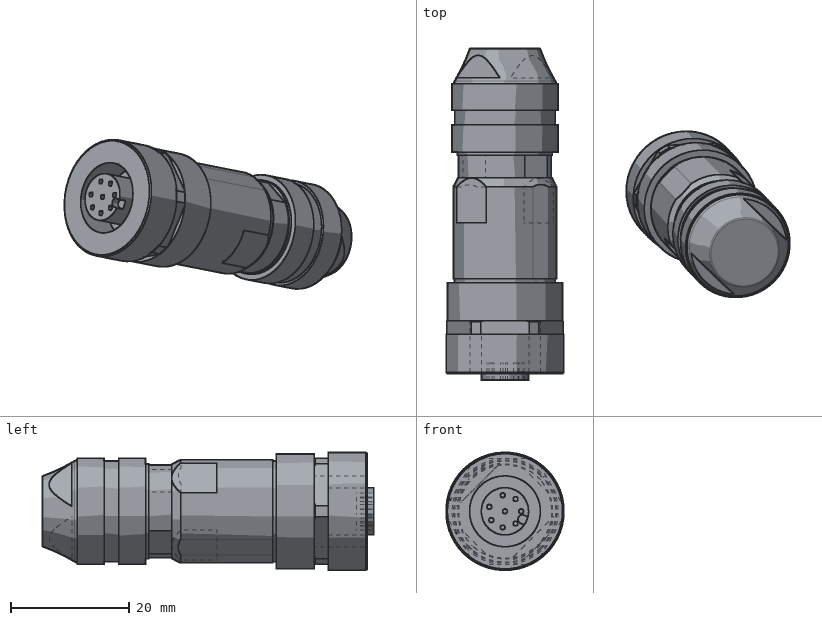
import cadquery as cq
import math


NUT_FACE_Y = 1.1
NUT_GRIP_END_Y = 7.75
NUT_END_Y = 10.1
LOCK_RING_END_Y = 16.55
SLEEVE_SHOULDER_Y = 17.15
SLEEVE_CHAMFER_Y = 32.75
SLEEVE_END_Y = 34.25
NECK_COLLAR_Y = 38.1
NECK_END_Y = 38.65
FRONT_CLAMP_END_Y = 43.25
SPACER_END_Y = 45.7
REAR_CLAMP_END_Y = 50.25
CONE_START_Y = 50.75
CONE_MID_Y = 53.3
OVERALL_LENGTH = 56.2

NUT_RADIUS = 10.0
NUT_BORE_RADIUS = 6.0
NUT_FACE_CHAMFER = 0.25
HEX_SIDES = 6
HEX_FIRST_ANGLE = 30
HEX_ACROSS_FLATS = 18.0
HEX_CORNER_RADIUS = 9.9
HEX_CORNER_CHAMFER = 0.2

INSERT_RADIUS = 4.0
CONTACT_HOLE_RADIUS = 0.4
CONTACT_HOLE_DEPTH = 3.0
CONTACT_CIRCLE_RADIUS = 2.75
CONTACT_COUNT = 7
CONTACT_PITCH = 49.0
KEYWAY_WIDTH = 1.5
KEYWAY_CENTRE_RADIUS = 3.25
KEYWAY_ANGLE = -CONTACT_PITCH / 2
KEYWAY_DEPTH = 1.5

LOCK_RING_RADIUS = 9.75
SLEEVE_RADIUS = 8.75
SLEEVE_SHOULDER_RADIUS = 8.57
SLEEVE_END_RADIUS = 8.0
NECK_RADIUS = 7.88
NECK_COLLAR_RADIUS = 8.05
CLAMP_RADIUS = 9.0
SPACER_RADIUS = 8.55

CONE_BASE_RADIUS = 8.75
CONE_START_RADIUS = 8.5
CONE_MID_RADIUS = 7.15
CONE_TIP_RADIUS = 5.95
CONE_TIP_FILLET = 0.25

LONG_FLAT_DISTANCE = 8.55
SHOULDER_FLAT_DISTANCE = 8.5
NECK_FLAT_DISTANCE = 7.4
WRENCH_FLAT_DISTANCE = 8.0
WRENCH_FLAT_START_Y = 26.65
CONE_FLAT_DISTANCE = 6.4
CONE_FLAT_START_Y = 51.2

SIDE_FLAT_ANGLES = (45, 225)
WRENCH_FLAT_ANGLES = (135, 315)


def disc(radius, start_y, end_y):
    """Solid cylinder on the Y axis."""
    return cq.Workplane("XZ", origin=(0, start_y, 0)).circle(radius).extrude(start_y - end_y)


def revolve(profile):
    """Turn a closed (radius, Y) profile around the Y axis."""
    return profile.close().revolve(360, (0, 0, 0), (0, 1, 0))


def cut_flats(body, distance, angles, start_y, end_y):
    """Cut flats parallel to the Y axis at the given distance from it."""
    width = 2 * NUT_RADIUS
    length = end_y - start_y
    for angle in angles:
        cutter = cq.Workplane("XY").box(width, length, width, centered=(False, False, True))
        cutter = cutter.translate((distance, start_y, 0))
        body = body.cut(cutter.rotate((0, 0, 0), (0, 1, 0), -angle))
    return body


def make_insert():
    core = disc(INSERT_RADIUS, 0, NUT_END_Y)
    flange = disc(NUT_BORE_RADIUS, NUT_GRIP_END_Y, NUT_END_Y)
    insert = core.union(flange)

    hole = disc(CONTACT_HOLE_RADIUS, 0, CONTACT_HOLE_DEPTH)
    insert = insert.cut(hole)
    first_angle = 2 * CONTACT_PITCH
    for index in range(CONTACT_COUNT):
        angle = math.radians(first_angle - index * CONTACT_PITCH)
        x = CONTACT_CIRCLE_RADIUS * math.cos(angle)
        z = CONTACT_CIRCLE_RADIUS * math.sin(angle)
        insert = insert.cut(hole.translate((x, 0, z)))

    round_end = disc(KEYWAY_WIDTH / 2, 0, KEYWAY_DEPTH).translate((KEYWAY_CENTRE_RADIUS, 0, 0))
    mouth = cq.Workplane("XY").box(
        INSERT_RADIUS, KEYWAY_DEPTH, KEYWAY_WIDTH, centered=(False, False, True)
    )
    keyway = round_end.union(mouth.translate((KEYWAY_CENTRE_RADIUS, 0, 0)))
    return insert.cut(keyway.rotate((0, 0, 0), (0, 1, 0), -KEYWAY_ANGLE))


def make_coupling_nut():
    grip = disc(NUT_RADIUS, NUT_FACE_Y, NUT_GRIP_END_Y)
    grip = grip.faces("<Y").chamfer(NUT_FACE_CHAMFER)
    hexagon = disc(HEX_CORNER_RADIUS, NUT_GRIP_END_Y, NUT_END_Y)
    hexagon = hexagon.faces(">Y").chamfer(HEX_CORNER_CHAMFER)
    hex_angles = [HEX_FIRST_ANGLE + 360 * side / HEX_SIDES for side in range(HEX_SIDES)]
    hexagon = cut_flats(hexagon, HEX_ACROSS_FLATS / 2, hex_angles, NUT_GRIP_END_Y, NUT_END_Y)
    return grip.union(hexagon).cut(disc(NUT_BORE_RADIUS, NUT_FACE_Y, NUT_END_Y))


def make_lock_ring():
    return disc(LOCK_RING_RADIUS, NUT_END_Y, LOCK_RING_END_Y)


def make_sleeve():
    profile = (
        cq.Workplane("XY")
        .moveTo(0, LOCK_RING_END_Y)
        .lineTo(SLEEVE_SHOULDER_RADIUS, LOCK_RING_END_Y)
        .lineTo(SLEEVE_SHOULDER_RADIUS, SLEEVE_SHOULDER_Y)
        .lineTo(SLEEVE_RADIUS, SLEEVE_SHOULDER_Y)
        .lineTo(SLEEVE_RADIUS, SLEEVE_CHAMFER_Y)
        .lineTo(SLEEVE_END_RADIUS, SLEEVE_END_Y)
        .lineTo(0, SLEEVE_END_Y)
    )
    sleeve = revolve(profile)
    sleeve = cut_flats(
        sleeve, SHOULDER_FLAT_DISTANCE, SIDE_FLAT_ANGLES, LOCK_RING_END_Y, SLEEVE_SHOULDER_Y
    )
    sleeve = cut_flats(sleeve, LONG_FLAT_DISTANCE, SIDE_FLAT_ANGLES, SLEEVE_SHOULDER_Y, SLEEVE_END_Y)
    return cut_flats(sleeve, WRENCH_FLAT_DISTANCE, WRENCH_FLAT_ANGLES, WRENCH_FLAT_START_Y, SLEEVE_END_Y)


def make_neck():
    neck = disc(NECK_RADIUS, SLEEVE_END_Y, NECK_COLLAR_Y)
    neck = cut_flats(neck, NECK_FLAT_DISTANCE, SIDE_FLAT_ANGLES, SLEEVE_END_Y, NECK_COLLAR_Y)
    return neck.union(disc(NECK_COLLAR_RADIUS, NECK_COLLAR_Y, NECK_END_Y))


def make_front_clamp():
    clamp = disc(CLAMP_RADIUS, NECK_END_Y, FRONT_CLAMP_END_Y)
    return clamp.union(disc(SPACER_RADIUS, FRONT_CLAMP_END_Y, SPACER_END_Y))


def make_rear_clamp():
    return disc(CLAMP_RADIUS, SPACER_END_Y, REAR_CLAMP_END_Y)


def make_cone():
    profile = (
        cq.Workplane("XY")
        .moveTo(0, REAR_CLAMP_END_Y)
        .lineTo(CONE_BASE_RADIUS, REAR_CLAMP_END_Y)
        .lineTo(CONE_START_RADIUS, CONE_START_Y)
        .threePointArc((CONE_MID_RADIUS, CONE_MID_Y), (CONE_TIP_RADIUS, OVERALL_LENGTH))
        .lineTo(0, OVERALL_LENGTH)
    )
    cone = revolve(profile).faces(">Y").edges().fillet(CONE_TIP_FILLET)
    return cut_flats(cone, CONE_FLAT_DISTANCE, WRENCH_FLAT_ANGLES, CONE_FLAT_START_Y, OVERALL_LENGTH)


insert = make_insert()
coupling_nut = make_coupling_nut()
lock_ring = make_lock_ring()
sleeve = make_sleeve()
neck = make_neck()
front_clamp = make_front_clamp()
rear_clamp = make_rear_clamp()
cone = make_cone()

result = cq.Compound.makeCompound(
    [
        insert.val(),
        coupling_nut.val(),
        lock_ring.val(),
        sleeve.val(),
        neck.val(),
        front_clamp.val(),
        rear_clamp.val(),
        cone.val(),
    ]
)